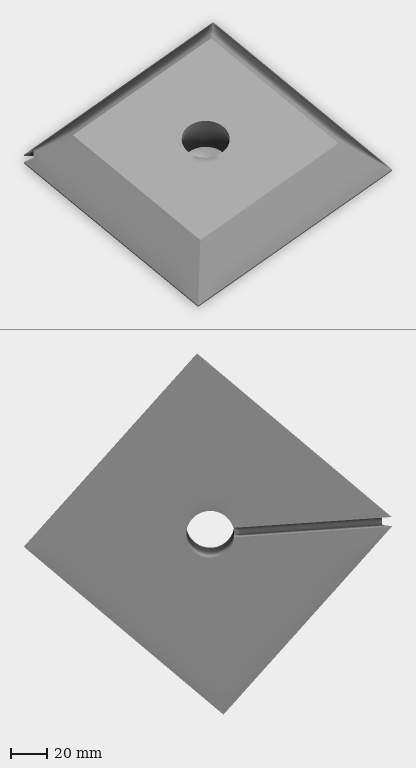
import cadquery as cq
import math

base_side = 146.0
height = 22.0
rim_height = 1.0
side_inset = height - rim_height
top_side = base_side - 2 * side_inset

hole_diameter = 26.5

channel_width = 5.4
channel_height = 5.0

notch_depth = 8.0
corner_distance = base_side / math.sqrt(2)


def make_body():
    rim = cq.Workplane("XY").rect(base_side, base_side).extrude(rim_height)
    slopes = (
        cq.Workplane("XY", origin=(0, 0, rim_height))
        .rect(base_side, base_side)
        .workplane(offset=side_inset)
        .rect(top_side, top_side)
        .loft(ruled=True)
    )
    return rim.union(slopes)


def make_corner_cut(length, cut_height):
    """Box running inward from the -X -Y corner along the diagonal."""
    return (
        cq.Workplane("XY")
        .box(length, channel_width, cut_height, centered=(False, True, False))
        .translate((-corner_distance, 0, 0))
        .rotate((0, 0, 0), (0, 0, 1), 45)
    )


hole = cq.Workplane("XY").circle(hole_diameter / 2).extrude(height)
channel = make_corner_cut(corner_distance, channel_height)
notch = make_corner_cut(notch_depth, height)

result = make_body().cut(hole).cut(channel).cut(notch)